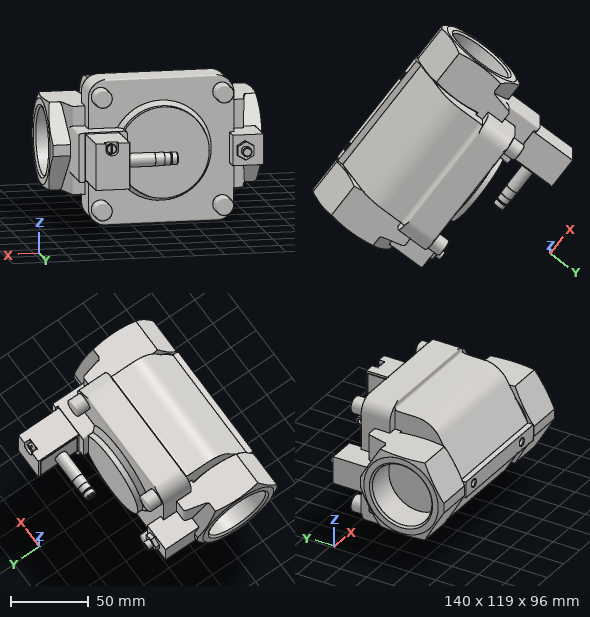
import cadquery as cq
import math


overall_length = 140
body_length = 83.7
hex_across_flats = 58.2
hex_half_angle = math.radians(30)
hex_across_corners = hex_across_flats / math.cos(hex_half_angle)
hex_corner_trim = 31.5
hex_end_radius = 28
hex_chamfer_length = 2.0
bore_diameter = 44.8
bore_depth = 21.5
bore_chamfer = 1.4

body_half_width = 43.1
flank_angle = math.radians(30)
flank_distance = 26.9
shoulder_radius = 20.0
flange_fillet = 2.4
pad_face = -31.8
pad_half_width = 5.9

pad_hole_positions = (-31.8, 27.7)
pad_hole_diameter = 4.9
pad_hole_mouth = 6.0
pad_hole_depth = 7
drill_point_ratio = 0.3

flange_size = 96.0
flange_back = 21.8
flange_top = 43.5
flange_corner_radius = 11.9
flange_edge_rounding = 1.1
cover_base_radius = 33.0
cover_radius = 30.1
cover_cone_top = 47.3
cover_top = 51.2

bolt_x = 40.0
bolt_z = 37.1
bolt_head_diameter = 12.0
bolt_head_top = 52.9
bolt_head_rounding = 1.0

saddle_bottom = hex_across_flats / 2 * math.tan(hex_half_angle)
saddle_top = 33.2
saddle_bottom_x = 60.3
saddle_top_x = 56.3
saddle_fillet = 2.1

block_root = 25.2
sensor_x_min = -65.2
sensor_x_max = -45.0
sensor_top = 54.3
sensor_width = 20.2
sensor_pin_x = -53.0
sensor_nut_across_flats = 10.6
sensor_nut_top = 57.3
sensor_pin_diameter = 6.0
sensor_pin_top = 61.7
sensor_pin_chamfer = 0.4

pilot_x_min = 24.8
pilot_x_max = 57.1
pilot_top = 55.2
pilot_width = 32.2
pilot_rounding = 1.7
pilot_lip_x = 53.2
pilot_lip_top = 57.0

solenoid_x_min = 30.0
solenoid_x_max = 52.2
solenoid_top = 87.2
solenoid_width = 30.5
end_plate_thickness = 0.5
end_plate_inset = 1.5
screw_recess_width = 8.1
screw_recess_depth = 4.5
screw_x = 41.5
screw_z = 11.2
screw_head_diameter = 6.0
screw_head_height = 2.8
screw_slot_width = 1.0
screw_slot_depth = 1.4

stem_y = 70.1
stem_tip_x = -5.0
stem_step_x = 3.9
stem_diameter = 9.0
stem_middle_x = 10.1
stem_middle_diameter = 8.7
stem_tip_diameter = 8.1
stem_tip_chamfer = 0.7
stem_groove_x = -1.1
stem_groove_width = 0.8
stem_groove_diameter = 7
stem_hole_diameter = 3.8
stem_hole_mouth = 4.3
stem_hole_depth = 2.8


def box(x_min, x_max, y_min, y_max, width):
    """Box centred on Z = 0."""
    solid = cq.Workplane("XY").box(x_max - x_min, y_max - y_min, width)
    return solid.translate(((x_min + x_max) / 2, (y_min + y_max) / 2, 0))


def cylinder_y(x, z, y_min, y_max, diameter):
    return cq.Workplane("XZ", origin=(x, y_min, z)).circle(diameter / 2).extrude(y_min - y_max)


def cylinder_x(y, x_min, x_max, diameter):
    return cq.Workplane("YZ", origin=(x_min, y, 0)).circle(diameter / 2).extrude(x_max - x_min)


def drill(diameter, depth, mouth_diameter):
    """Cutter along +X from the origin, with a chamfered mouth and a conical point."""
    radius = diameter / 2
    mouth_radius = mouth_diameter / 2
    profile = [
        (0, 0),
        (0, mouth_radius),
        (mouth_radius - radius, radius),
        (depth, radius),
        (depth + drill_point_ratio * radius, 0),
    ]
    return cq.Workplane("XY").polyline(profile).close().revolve(360, (0, 0, 0), (1, 0, 0))


def make_hex_end():
    """Hexagon on the +X side, chamfered at both ends."""
    x_min = body_length / 2
    x_max = overall_length / 2
    corner_radius = hex_across_corners / 2
    hexagon = cq.Workplane("YZ", origin=(x_min, 0, 0)).polygon(6, hex_across_corners).extrude(x_max - x_min)
    hexagon = hexagon.intersect(box(x_min, x_max, -hex_corner_trim, hex_corner_trim, hex_across_flats))
    turned = [
        (x_min, 0),
        (x_min, hex_end_radius),
        (x_min + hex_chamfer_length, corner_radius),
        (x_max - hex_chamfer_length, corner_radius),
        (x_max, hex_end_radius),
        (x_max, 0),
    ]
    return hexagon.intersect(
        cq.Workplane("XY").polyline(turned).close().revolve(360, (0, 0, 0), (1, 0, 0))
    )


def make_bore():
    """Cutter for the blind bore on the +X side, with a chamfered mouth."""
    x_max = overall_length / 2
    radius = bore_diameter / 2
    profile = [
        (x_max - bore_depth, 0),
        (x_max - bore_depth, radius),
        (x_max - bore_chamfer, radius),
        (x_max, radius + bore_chamfer),
        (x_max, 0),
    ]
    return cq.Workplane("XY").polyline(profile).close().revolve(360, (0, 0, 0), (1, 0, 0))


def make_body():
    """Central prism: flat sides, rounded shoulders, slanted flanks and a narrow front pad."""
    slope_cos = math.cos(flank_angle)
    slope_sin = math.sin(flank_angle)
    shoulder_z = body_half_width - shoulder_radius
    shoulder_y = (shoulder_radius + shoulder_z * slope_sin - flank_distance) / slope_cos
    flank_start = (shoulder_y - shoulder_radius * slope_cos, shoulder_z + shoulder_radius * slope_sin)
    shoulder_mid = (shoulder_y - shoulder_radius * slope_sin, shoulder_z + shoulder_radius * slope_cos)
    flank_end_y = (pad_half_width * slope_sin - flank_distance) / slope_cos
    fillet_end_z = body_half_width + flange_fillet
    fillet_sag = flange_fillet * (1 - math.sqrt(0.5))
    half = (
        cq.Workplane("YZ", origin=(-body_length / 2, 0, 0))
        .moveTo(flange_top, 0)
        .lineTo(flange_top, fillet_end_z)
        .lineTo(flange_back, fillet_end_z)
        .threePointArc(
            (flange_back - fillet_sag, body_half_width + fillet_sag),
            (flange_back - flange_fillet, body_half_width),
        )
        .lineTo(shoulder_y, body_half_width)
        .threePointArc(shoulder_mid, flank_start)
        .lineTo(flank_end_y, pad_half_width)
        .lineTo(pad_face, pad_half_width)
        .lineTo(pad_face, 0)
        .close()
        .extrude(body_length)
    )
    return half.union(half.mirror("XY"))


def make_flange():
    half = flange_size / 2
    flange = box(-half, half, flange_back, flange_top, flange_size)
    flange = flange.edges("|Y").fillet(flange_corner_radius)
    rounded = box(-half, half, flange_back, flange_top, flange_size).edges("|X").fillet(flange_edge_rounding)
    return flange.intersect(rounded)


def make_cover():
    profile = [
        (0, flange_back),
        (cover_base_radius, flange_back),
        (cover_base_radius, flange_top),
        (cover_radius, cover_cone_top),
        (cover_radius, cover_top),
        (0, cover_top),
    ]
    cover = cq.Workplane("XY").polyline(profile).close().revolve(360, (0, 0, 0), (0, 1, 0))
    for x in (-bolt_x, bolt_x):
        for z in (-bolt_z, bolt_z):
            head = cylinder_y(x, z, flange_back, bolt_head_top, bolt_head_diameter)
            cover = cover.union(head.faces(">Y").edges().fillet(bolt_head_rounding))
    return cover


def make_saddle():
    """Sloped bridge over both hexagons, as wide as their flats."""
    end_x = overall_length / 2
    outline = [
        (-end_x, 0),
        (-end_x, saddle_bottom),
        (-saddle_bottom_x, saddle_bottom),
        (-saddle_top_x, saddle_top),
        (saddle_top_x, saddle_top),
        (saddle_bottom_x, saddle_bottom),
        (end_x, saddle_bottom),
        (end_x, 0),
    ]
    saddle = cq.Workplane("XY").polyline(outline).close().extrude(hex_across_flats / 2, both=True)
    margin = saddle_fillet
    slope_box = cq.selectors.BoxSelector(
        (-saddle_bottom_x - margin, saddle_bottom - margin, -hex_across_flats),
        (saddle_bottom_x + margin, saddle_top + margin, hex_across_flats),
    )
    saddle = saddle.edges("|Z").edges(slope_box).fillet(saddle_fillet)
    return saddle.intersect(box(-end_x, end_x, saddle_bottom, saddle_top, hex_across_flats))


def make_sensor():
    sensor = box(sensor_x_min, sensor_x_max, block_root, sensor_top, sensor_width)
    nut = (
        cq.Workplane("XZ", origin=(sensor_pin_x, sensor_top, 0))
        .transformed(rotate=(0, 0, 90))
        .polygon(6, sensor_nut_across_flats / math.cos(hex_half_angle))
        .extrude(sensor_top - sensor_nut_top)
    )
    pin = cylinder_y(sensor_pin_x, 0, sensor_top, sensor_pin_top, sensor_pin_diameter)
    pin = pin.faces(">Y").edges().chamfer(sensor_pin_chamfer)
    return sensor.union(nut).union(pin)


def make_pilot():
    pilot = box(pilot_x_min, pilot_x_max, block_root, pilot_lip_top, pilot_width)
    pilot = pilot.edges("|Y").fillet(pilot_rounding)
    return pilot.cut(box(pilot_x_min, pilot_lip_x, pilot_top, pilot_lip_top, pilot_width))


def make_solenoid():
    solenoid = box(solenoid_x_min, solenoid_x_max, pilot_top, solenoid_top, solenoid_width)
    plate = box(
        solenoid_x_min - end_plate_thickness,
        solenoid_x_min,
        pilot_top + end_plate_inset,
        solenoid_top - end_plate_inset,
        solenoid_width - 2 * end_plate_inset,
    )
    recess_floor = solenoid_top - screw_recess_depth
    recess = cylinder_y(screw_x, screw_z, recess_floor, solenoid_top, screw_recess_width)
    opening = (
        cq.Workplane("XY", origin=(screw_x, solenoid_top - screw_recess_depth / 2, screw_z))
        .rect(screw_recess_width, screw_recess_depth)
        .extrude(solenoid_width / 2 - screw_z)
    )
    head_top = recess_floor + screw_head_height
    head = cylinder_y(screw_x, screw_z, recess_floor, head_top, screw_head_diameter)
    slot = box(
        screw_x - screw_slot_width / 2,
        screw_x + screw_slot_width / 2,
        head_top - screw_slot_depth,
        head_top,
        solenoid_width,
    )
    return solenoid.union(plate).cut(recess).cut(opening).union(head.cut(slot))


def make_stem():
    stem = cylinder_x(stem_y, stem_tip_x, solenoid_x_min, stem_tip_diameter)
    stem = stem.faces("<X").edges().chamfer(stem_tip_chamfer)
    stem = stem.union(cylinder_x(stem_y, stem_step_x, solenoid_x_min, stem_middle_diameter))
    stem = stem.union(cylinder_x(stem_y, stem_middle_x, solenoid_x_min, stem_diameter))
    groove_end = stem_groove_x + stem_groove_width
    groove = cylinder_x(stem_y, stem_groove_x, groove_end, stem_diameter)
    groove = groove.cut(cylinder_x(stem_y, stem_groove_x, groove_end, stem_groove_diameter))
    hole = drill(stem_hole_diameter, stem_hole_depth, stem_hole_mouth)
    return stem.cut(groove).cut(hole.translate((stem_tip_x, stem_y, 0)))


def make_pad_hole(x):
    hole = drill(pad_hole_diameter, pad_hole_depth, pad_hole_mouth)
    return hole.rotate((0, 0, 0), (0, 0, 1), 90).translate((x, pad_face, 0))


hex_end = make_hex_end()
result = make_body().union(hex_end).union(hex_end.mirror("YZ"))
result = result.union(make_flange()).union(make_saddle()).union(make_cover())
result = result.union(make_sensor()).union(make_pilot())
result = result.union(make_solenoid()).union(make_stem())
bore = make_bore()
result = result.cut(bore).cut(bore.mirror("YZ"))
for hole_x in pad_hole_positions:
    result = result.cut(make_pad_hole(hole_x))